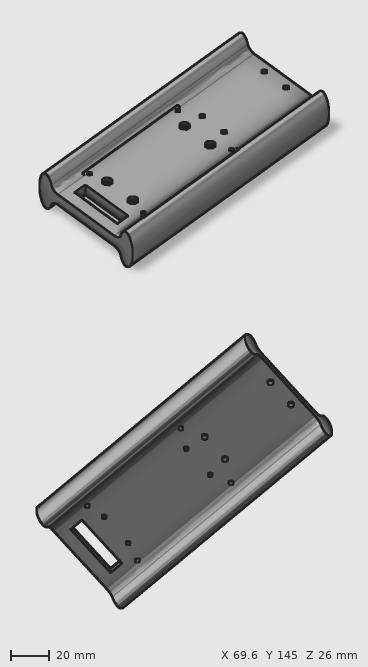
import cadquery as cq

length = 145.0
width = 69.6
rail_height = 26.0
rail_thickness = 10.0
web_thickness = 7.7
rail_fillet = 4.8
rail_offset = (width - rail_thickness) / 2
web_top = web_thickness / 2

seat_width = 45.5
seat_back = 17.7
seat_front = -52.6
seat_length = seat_back - seat_front

rear_hole_diameter = 3.0
rear_hole_x = 8.1
rear_hole_rows = (21.3, 67.1)

corner_hole_diameter = 2.5
corner_hole_x = 20.0
corner_hole_inset = 2.6
corner_hole_rows = (seat_front + corner_hole_inset, seat_back - corner_hole_inset)

screw_hole_diameter = 2.3
counterbore_diameter = 5.5
counterbore_depth = 2.8
screw_x = 9.5
screw_rows = (-47.4, 9.7)

slot_length = 31.8
slot_width = 7.8
slot_y = -61.2


def mirrored_points(x, rows):
    """Points at -x and +x in every row."""
    return [(side * x, y) for y in rows for side in (-1, 1)]


def make_body():
    """Extrude the rails and web along Y, then fillet where they meet."""
    body = cq.Workplane("XY").box(2 * rail_offset, length, web_thickness)
    rails = (
        cq.Workplane("XZ", origin=(0, length / 2, 0))
        .pushPoints([(-rail_offset, 0), (rail_offset, 0)])
        .ellipse(rail_thickness / 2, rail_height / 2)
        .extrude(length)
    )
    body = body.union(rails)
    joint_zone = cq.selectors.BoxSelector(
        (-rail_offset, -length / 4, -web_thickness),
        (rail_offset, length / 4, web_thickness),
    )
    return body.edges(joint_zone).fillet(rail_fillet)


def cut_seat(body):
    """Clear the fillets above the web over the length of the board seat."""
    seat = (
        cq.Workplane("XY", origin=(0, (seat_front + seat_back) / 2, web_top))
        .rect(seat_width, seat_length)
        .extrude(rail_height / 2)
    )
    return body.cut(seat)


def cut_holes(body):
    """Drill every hole through the web from its top face."""
    top = cq.Workplane("XY", origin=(0, 0, web_top))
    hole_patterns = (
        (rear_hole_x, rear_hole_rows, rear_hole_diameter, web_thickness),
        (corner_hole_x, corner_hole_rows, corner_hole_diameter, rail_height),
        (screw_x, screw_rows, screw_hole_diameter, web_thickness),
        (screw_x, screw_rows, counterbore_diameter, counterbore_depth),
    )
    for x, rows, diameter, depth in hole_patterns:
        holes = top.pushPoints(mirrored_points(x, rows)).circle(diameter / 2).extrude(-depth)
        body = body.cut(holes)
    return body


def cut_slot(body):
    """Open the rectangular slot through the web."""
    slot = cq.Workplane("XY").center(0, slot_y).box(slot_length, slot_width, web_thickness)
    return body.cut(slot)


result = cut_slot(cut_holes(cut_seat(make_body())))